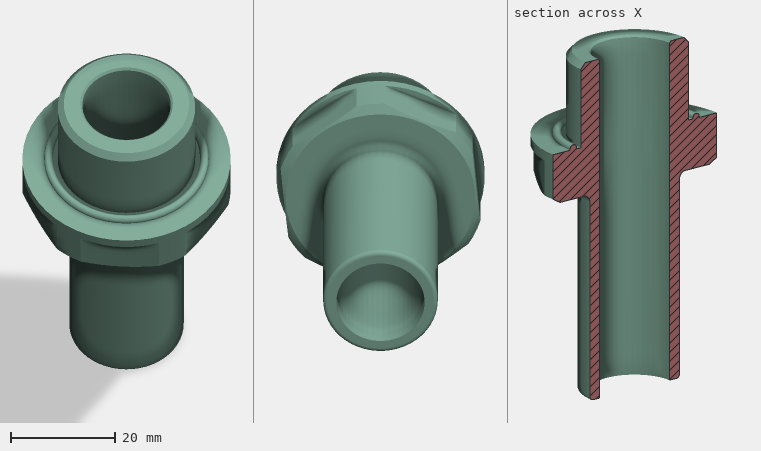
import cadquery as cq
import math

total_height = 69.0
hex_bottom = 41.8
flange_bottom = 49.95
flange_top = 51.95

flange_diameter = 40.0
across_flats = 37.05
pipe_diameter = 22.0
spigot_diameter = 26.4
bore_diameter = 17.0
seal_outer_diameter = 31.7
seal_inner_diameter = 28.3

spigot_chamfer = 1.2
bore_chamfer = 0.4
pipe_end_radius = 0.8
neck_radius = 1.4
hex_chamfer_width = 1.8
hex_chamfer_angle = 30.0

seal_lift = 0.15


def cylinder(diameter, bottom, top):
    """Upright cylinder on the Z axis between two heights."""
    return cq.Workplane("XY").workplane(offset=bottom).circle(diameter / 2).extrude(top - bottom)


def make_hex_collar():
    """Round collar with six flats, two of them facing +X and -X, and a conical lower edge."""
    across_corners = across_flats / math.cos(math.pi / 6)
    chamfer_height = hex_chamfer_width * math.tan(math.radians(hex_chamfer_angle))
    blank = (
        cylinder(flange_diameter, hex_bottom, flange_bottom)
        .faces("<Z")
        .edges()
        .chamfer(chamfer_height, hex_chamfer_width)
    )
    hexagon = (
        cq.Workplane("XY")
        .workplane(offset=hex_bottom)
        .polygon(6, across_corners)
        .extrude(flange_bottom - hex_bottom)
        .rotate((0, 0, 0), (0, 0, 1), 30)
    )
    return blank.intersect(hexagon)


def make_pipe():
    """Lower pipe with a rounded end and a concave flare up to the hexagon."""
    radius = pipe_diameter / 2
    arc_offset = neck_radius * (1 - math.sqrt(0.5))
    return (
        cq.Workplane("XZ")
        .lineTo(radius - pipe_end_radius, 0)
        .radiusArc((radius, pipe_end_radius), -pipe_end_radius)
        .lineTo(radius, hex_bottom - neck_radius)
        .threePointArc(
            (radius + arc_offset, hex_bottom - arc_offset),
            (radius + neck_radius, hex_bottom),
        )
        .lineTo(radius + neck_radius, flange_bottom)
        .lineTo(0, flange_bottom)
        .close()
        .revolve(360, (0, 0, 0), (0, 1, 0))
    )


def make_seal_ring():
    """Round-section sealing ring, partly sunk into the flange face."""
    section_radius = (seal_outer_diameter - seal_inner_diameter) / 4
    centre_radius = (seal_outer_diameter + seal_inner_diameter) / 4
    return cq.Workplane("XY").add(
        cq.Solid.makeTorus(centre_radius, section_radius, cq.Vector(0, 0, flange_top + seal_lift))
    )


flange = cylinder(flange_diameter, flange_bottom, flange_top)
spigot = cylinder(spigot_diameter, flange_bottom, total_height).faces(">Z").edges().chamfer(spigot_chamfer)

body = make_pipe().union(make_hex_collar()).union(flange).union(spigot).union(make_seal_ring())

bored = body.cut(cylinder(bore_diameter, 0, total_height))
result = bored.faces(">Z").edges(cq.selectors.RadiusNthSelector(0)).chamfer(bore_chamfer)